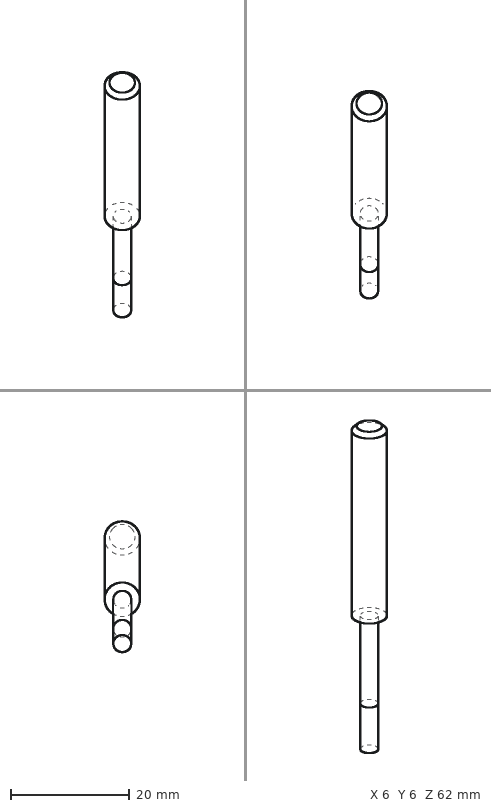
import cadquery as cq
import math

overall_length = 62.0
shank_diameter = 6.0
shank_length = 36.0
shank_chamfer = 0.85
drill_diameter = 3.05
point_angle = 135.0
cutting_length = 9.3

shank_radius = shank_diameter / 2
drill_radius = drill_diameter / 2
point_height = drill_radius / math.tan(math.radians(point_angle / 2))
shank_bottom = overall_length - shank_length


def make_cutting_head():
    """Lower end of the drill: a conical point below a straight cylinder."""
    half_profile = (
        cq.Workplane("XZ")
        .moveTo(0, 0)
        .lineTo(drill_radius, point_height)
        .lineTo(drill_radius, cutting_length)
        .lineTo(0, cutting_length)
        .close()
    )
    return half_profile.revolve(360, (0, 0, 0), (0, 1, 0))


def make_holder():
    """Slim neck that carries on from the cutting head, and the chamfered shank above it."""
    neck = (
        cq.Workplane("XY")
        .workplane(offset=cutting_length)
        .circle(drill_radius)
        .extrude(shank_bottom - cutting_length)
    )
    shank = (
        cq.Workplane("XY")
        .workplane(offset=shank_bottom)
        .circle(shank_radius)
        .extrude(shank_length)
        .faces(">Z")
        .chamfer(shank_chamfer)
    )
    return neck.union(shank)


cutting_head = make_cutting_head()
holder = make_holder()

result = cq.Compound.makeCompound([cutting_head.val(), *holder.solids().vals()])